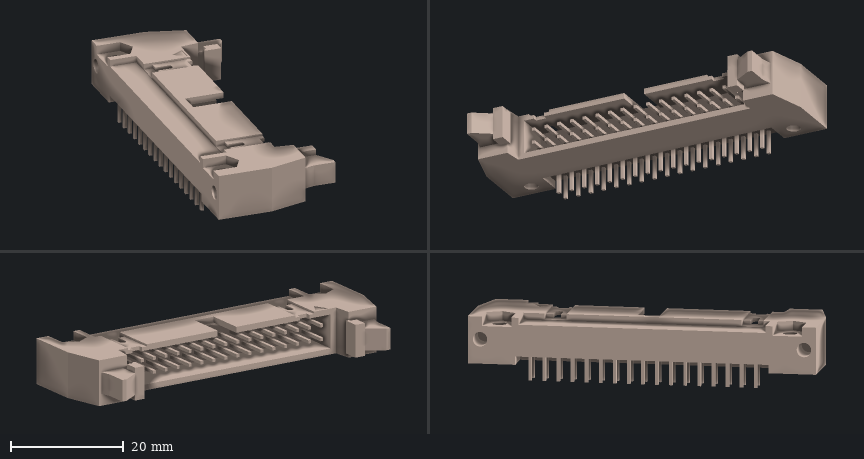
import cadquery as cq


housing_length = 62.8
housing_height = 8.5
socket_front = 13.8
tower_front = 17.25
taper_start = 10.1
half_length = housing_length / 2
tower_outer_end = 29.45
tower_inner_end = 23.55
tower_inner_root = 23.15

cavity_back = 7.4
cavity_half_length = 22.0
wall = 1.1

pin_columns = 17
pitch = 2.54
pin_size = 0.6
pin_bottom = -2.9
pin_tip = 13.5
front_row = 1.05
mid_height = housing_height / 2

notch_width = 4.0
notch_back = 6.45

shelf_half_length = 22.25
shelf_width = 5.0
shelf_depth = 1.25
relief_half_length = 22.85
relief_width = shelf_width
relief_height = 1.5

key_centers = (-6.5 * pitch, 7.5 * pitch)
key_width = 4.0
key_depth = 0.4
key_step_depth = wall
key_step_front = 6.65
key_slot_width = 1.35
key_slot_front = 9.65
lip_width = 2.0
lip_back = 12.9

hole_diameter = 2.6
mount_x = 26.2
mount_y = 2.85
nut_width = 5.3
nut_shoulder = 4.4
nut_peak = 5.85
nut_depth = 1.7
rear_hole_x = 29.2
rear_hole_z = 4.4
rear_hole_depth = 5.0

mark_x = -20.35
mark_width = 2.7
mark_top = 13.45
mark_tip = 11.0
mark_depth = 0.2

latch_thickness = 4.0
latch_inner = 24.4
latch_outer = 28.5
latch_root_outer = 29.0
latch_kink = 19.2
latch_tip = 23.3
latch_tip_inner = 27.6
hook_height = 6.1
hook_inner = 22.45
hook_toe = 23.05
hook_top = 21.2
hook_bottom = 18.6
hook_toe_bottom = 18.15


def block(x_range, y_range, z_range):
    """Box between pairs of limits."""
    return (
        cq.Workplane("XY", origin=(x_range[0], y_range[0], z_range[0]))
        .box(
            x_range[1] - x_range[0],
            y_range[1] - y_range[0],
            z_range[1] - z_range[0],
            centered=False,
        )
    )


def prism(points, bottom, top):
    """Closed outline in plan, raised from bottom to top."""
    return cq.Workplane("XY").workplane(offset=bottom).polyline(points).close().extrude(top - bottom)


def both_ends(shape):
    """Shape together with its mirror image across X = 0."""
    return shape.union(shape.mirror("YZ"))


def housing():
    right_side = [
        (half_length, 0),
        (half_length, taper_start),
        (tower_outer_end, tower_front),
        (tower_inner_end, tower_front),
        (tower_inner_root, socket_front),
    ]
    left_side = [(-x, y) for x, y in reversed(right_side)]
    return prism(right_side + left_side, 0, housing_height)


def cavity():
    return block(
        (-cavity_half_length, cavity_half_length),
        (cavity_back, socket_front),
        (wall, housing_height - wall),
    )


def polarising_notch():
    return block(
        (-notch_width / 2, notch_width / 2),
        (notch_back, socket_front),
        (housing_height - wall, housing_height),
    )


def shelf():
    return block(
        (-shelf_half_length, shelf_half_length),
        (0, shelf_width),
        (housing_height - shelf_depth, housing_height),
    )


def tail_relief():
    return block(
        (-relief_half_length, relief_half_length),
        (0, relief_width),
        (0, relief_height),
    )


def key_recess(center):
    def centered_cut(width, back, front, depth):
        return block(
            (center - width / 2, center + width / 2),
            (back, front),
            (housing_height - depth, housing_height),
        )

    radius = key_slot_width / 2
    round_center = key_slot_front - radius
    slot_end = (
        cq.Workplane("XY", origin=(center, round_center, housing_height - wall))
        .circle(radius)
        .extrude(wall)
    )
    return (
        centered_cut(key_width, shelf_width, socket_front, key_depth)
        .union(centered_cut(key_width, shelf_width, key_step_front, key_step_depth))
        .union(centered_cut(key_slot_width, key_step_front, cavity_back, key_step_depth))
        .union(centered_cut(key_slot_width, cavity_back, round_center, wall))
        .union(slot_end)
        .union(centered_cut(lip_width, lip_back, socket_front, wall))
    )


def mounting_cuts():
    pocket = prism(
        [
            (mount_x - nut_width / 2, 0),
            (mount_x + nut_width / 2, 0),
            (mount_x + nut_width / 2, nut_shoulder),
            (mount_x, nut_peak),
            (mount_x - nut_width / 2, nut_shoulder),
        ],
        housing_height - nut_depth,
        housing_height,
    )
    through_hole = (
        cq.Workplane("XY", origin=(mount_x, mount_y, 0))
        .circle(hole_diameter / 2)
        .extrude(housing_height)
    )
    rear_hole = (
        cq.Workplane("XZ", origin=(rear_hole_x, 0, rear_hole_z))
        .circle(hole_diameter / 2)
        .extrude(-rear_hole_depth)
    )
    return both_ends(pocket.union(through_hole).union(rear_hole))


def pin_one_mark():
    return prism(
        [
            (mark_x - mark_width / 2, mark_top),
            (mark_x + mark_width / 2, mark_top),
            (mark_x, mark_tip),
        ],
        housing_height - mark_depth,
        housing_height,
    )


def latches():
    arm = prism(
        [
            (latch_inner, tower_front),
            (latch_root_outer, tower_front),
            (latch_outer, latch_kink),
            (latch_outer, latch_tip),
            (latch_tip_inner, latch_tip),
            (latch_inner, hook_top),
        ],
        mid_height - latch_thickness / 2,
        mid_height + latch_thickness / 2,
    )
    hook = prism(
        [
            (latch_inner, hook_top),
            (hook_inner, hook_top),
            (hook_inner, hook_toe_bottom),
            (hook_toe, hook_toe_bottom),
            (hook_toe, hook_bottom),
            (latch_inner, hook_bottom),
        ],
        mid_height - hook_height / 2,
        mid_height + hook_height / 2,
    )
    return both_ends(arm.union(hook))


def pins():
    """Two rows of right-angle pins; the upper contacts bend down at the outer tail row."""
    half = pin_size / 2
    bends = (
        (front_row, mid_height + pitch / 2),
        (front_row + pitch, mid_height - pitch / 2),
    )
    group = cq.Workplane("XY")
    for column in range(pin_columns):
        x = (column - (pin_columns - 1) / 2) * pitch
        for tail_y, contact_z in bends:
            sides = (x - half, x + half)
            contact = block(sides, (tail_y - half, pin_tip), (contact_z - half, contact_z + half))
            tail = block(sides, (tail_y - half, tail_y + half), (pin_bottom, contact_z + half))
            group = group.add(contact.union(tail))
    return group


body = housing().cut(cavity()).cut(polarising_notch()).cut(shelf()).cut(tail_relief())
for key_center in key_centers:
    body = body.cut(key_recess(key_center))
body = body.cut(mounting_cuts()).cut(pin_one_mark())

result = body.union(latches()).union(pins())